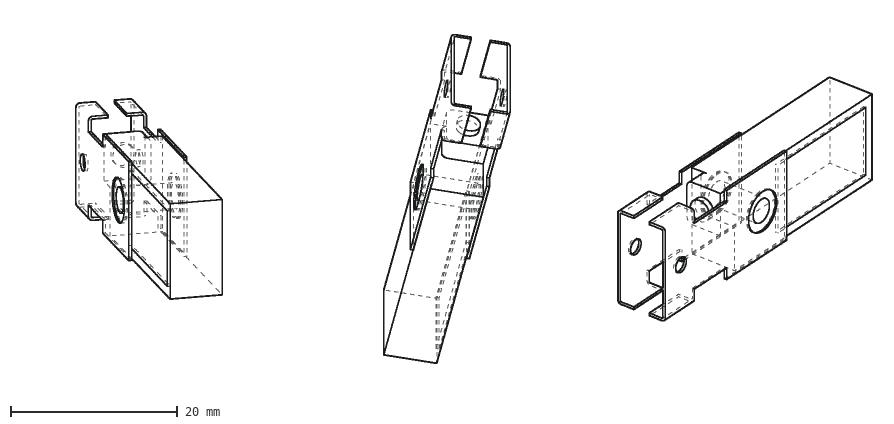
import cadquery as cq

LENGTH = 40.9
WIDTH = 7.25
HEIGHT = 13.1

SHEET = 0.35
BEND_RADIUS = 0.55
FLANGE_REACH = 2.45
FLANGE_LENGTH = 5.7
NECK_HEIGHT = 9.2
PLATE_START = 12.0
PLATE_END = 23.7
PLATE_HEIGHT = 12.45
PIN_HOLE_X = 3.05
PIN_HOLE_DIAMETER = 2.05
WINDOW_DIAMETER = 5.52

HOUSING_WIDTH = WIDTH - 2 * SHEET
HOUSING_HEIGHT = 12.0
HOUSING_START = 13.95
BORE_X = 19.02
BORE_DIAMETER = 3.2
BOSS_DEPTH_BELOW_BRACKET = 0.2

NOSE_START = 11.25
NOSE_HEIGHT = 5.9
NOSE_WIDTH = 5.1
NOSE_RADIUS = 0.8
BUTTON_START = 10.45
BUTTON_DIAMETER = 2.85
BUTTON_Y = -0.75

COVER_MARGIN = 1.25
COVER_THICKNESS = SHEET
COVER_START = PLATE_END - COVER_MARGIN
COVER_LENGTH = LENGTH - COVER_MARGIN - COVER_START
COVER_HEIGHT = HOUSING_HEIGHT - 2 * COVER_MARGIN


def block(x_start, length, y_start, width, height):
    """Box placed by its -X and -Y faces and centred on Z = 0."""
    return (
        cq.Workplane("XY")
        .box(length, width, height, centered=(False, False, True))
        .translate((x_start, y_start, 0))
    )


def cross_hole(x, diameter):
    """Cylinder along Y, centred on Z = 0, long enough to cut through the whole assembly."""
    return cq.Workplane("XZ").center(x, 0).circle(diameter / 2).extrude(WIDTH, both=True)


def make_bracket():
    """The -Y side bracket: a bent channel, a narrow neck and a wide plate."""
    outer_y = -WIDTH / 2
    channel = (
        block(0, FLANGE_LENGTH, outer_y, FLANGE_REACH, HEIGHT)
        .edges("|X and <Y")
        .fillet(BEND_RADIUS)
    )
    inside = (
        block(0, FLANGE_LENGTH, outer_y + SHEET, FLANGE_REACH, HEIGHT - 2 * SHEET)
        .edges("|X and <Y")
        .fillet(BEND_RADIUS - SHEET)
    )
    neck = block(FLANGE_LENGTH, PLATE_START - FLANGE_LENGTH, outer_y, SHEET, NECK_HEIGHT)
    plate = block(PLATE_START, PLATE_END - PLATE_START, outer_y, SHEET, PLATE_HEIGHT)
    return (
        channel.cut(inside)
        .union(neck)
        .union(plate)
        .cut(cross_hole(PIN_HOLE_X, PIN_HOLE_DIAMETER))
        .cut(cross_hole(BORE_X, WINDOW_DIAMETER))
    )


def make_cover():
    """Flush rectangular plate; it also serves as the shape of its own recess."""
    return block(COVER_START, COVER_LENGTH, -HOUSING_WIDTH / 2, COVER_THICKNESS, COVER_HEIGHT)


def make_housing():
    """Main block with its nose, button, side bosses, cross bore and cover recess."""
    side_y = -HOUSING_WIDTH / 2
    nose_z = (HOUSING_HEIGHT - NOSE_HEIGHT) / 2
    main = block(HOUSING_START, LENGTH - HOUSING_START, side_y, HOUSING_WIDTH, HOUSING_HEIGHT)
    nose = (
        block(NOSE_START, HOUSING_START - NOSE_START, side_y, NOSE_WIDTH, NOSE_HEIGHT)
        .edges("|X and >Y")
        .fillet(NOSE_RADIUS)
        .translate((0, 0, nose_z))
    )
    button = (
        cq.Workplane("YZ", origin=(BUTTON_START, BUTTON_Y, nose_z))
        .circle(BUTTON_DIAMETER / 2)
        .extrude(NOSE_START - BUTTON_START)
    )
    bosses = (
        cq.Workplane("XZ")
        .center(BORE_X, 0)
        .circle(WINDOW_DIAMETER / 2)
        .extrude(WIDTH / 2 - BOSS_DEPTH_BELOW_BRACKET, both=True)
    )
    return (
        main.union(nose)
        .union(button)
        .union(bosses)
        .cut(make_cover())
        .cut(cross_hole(BORE_X, BORE_DIAMETER))
    )


near_bracket = make_bracket()
far_bracket = near_bracket.mirror("XZ")
housing = make_housing()
cover = make_cover()

result = cq.Compound.makeCompound(
    [near_bracket.val(), far_bracket.val(), housing.val(), cover.val()]
)